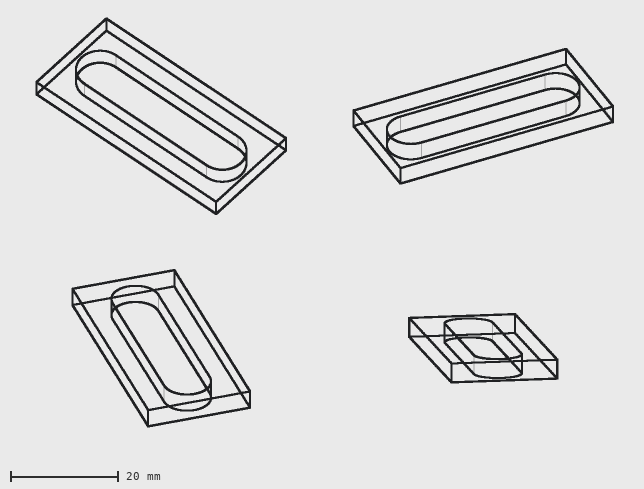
import cadquery as cq

plate_length = 44.0
plate_width = 20.0
plate_thickness = 3.6

slot_end_wall = 2.55
slot_width = 8.98
slot_length = plate_length - 2 * slot_end_wall

plate = cq.Workplane("XY").box(plate_length, plate_width, plate_thickness)

result = plate.faces(">Z").workplane().slot2D(slot_length, slot_width).cutThruAll()